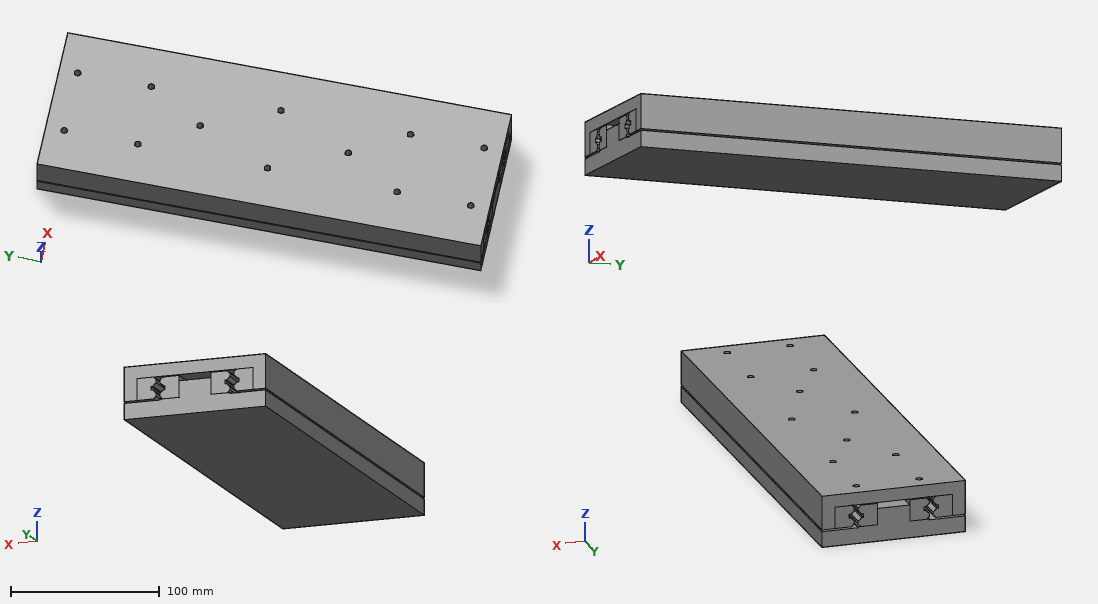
import cadquery as cq

LENGTH = 304.8
WIDTH = 101.5
HEIGHT = 36.5
TOP_Z = HEIGHT / 2
BOTTOM_Z = -HEIGHT / 2

RAIL_CLEARANCE = 0.5
SKIRT_CLEARANCE = 1.2

RAIL_HEIGHT = 15.2
RAIL_WIDTH = 13.7
RAIL_GAP = 2.7
RAIL_CHAMFER = 1.8
GROOVE_HALF_HEIGHT = 3.7
RELIEF_HALF_HEIGHT = 1.2
RELIEF_DEPTH = 3.7

CARRIAGE_ROOF = 8.8
CEILING_Z = TOP_Z - CARRIAGE_ROOF
CARRIAGE_BOTTOM_Z = CEILING_Z - RAIL_HEIGHT

RIB_WIDTH = 23.0
RIB_TOP_Z = 5.2
BASE_TOP_Z = CARRIAGE_BOTTOM_Z - SKIRT_CLEARANCE
INNER_RAIL_BOTTOM_Z = CEILING_Z - RAIL_CLEARANCE - RAIL_HEIGHT

INNER_RAIL_BACK_X = RIB_WIDTH / 2
INNER_RAIL_FACE_X = INNER_RAIL_BACK_X + RAIL_WIDTH
OUTER_RAIL_FACE_X = INNER_RAIL_FACE_X + RAIL_GAP
OUTER_RAIL_BACK_X = OUTER_RAIL_FACE_X + RAIL_WIDTH

HOLE_DIAMETER = 4.3
HOLE_ROW_X = 22.3
ROW_HOLE_Y = 139.5, 89.0
CENTRE_HOLE_Y = 51.0


def box(width, bottom_z, top_z):
    """Full-length block, centred across the slide, between two heights."""
    return (
        cq.Workplane("XY", origin=(0, 0, bottom_z))
        .rect(width, LENGTH)
        .extrude(top_z - bottom_z)
    )


def make_carriage():
    block = box(WIDTH, CARRIAGE_BOTTOM_Z, TOP_Z)
    channel = box(2 * OUTER_RAIL_BACK_X, CARRIAGE_BOTTOM_Z, CEILING_Z)

    row_y = [0.0]
    for y in ROW_HOLE_Y:
        row_y += [-y, y]
    hole_places = [(x, y) for x in (-HOLE_ROW_X, HOLE_ROW_X) for y in row_y]
    hole_places += [(0, -CENTRE_HOLE_Y), (0, CENTRE_HOLE_Y)]
    holes = (
        cq.Workplane("XY", origin=(0, 0, CEILING_Z))
        .pushPoints(hole_places)
        .circle(HOLE_DIAMETER / 2)
        .extrude(CARRIAGE_ROOF)
    )
    return block.cut(channel).cut(holes)


def make_base():
    plate = box(WIDTH, BOTTOM_Z, BASE_TOP_Z)
    seat = box(2 * INNER_RAIL_FACE_X, BASE_TOP_Z, INNER_RAIL_BOTTOM_Z)
    rib = box(RIB_WIDTH, INNER_RAIL_BOTTOM_Z, RIB_TOP_Z)
    return plate.union(seat).union(rib)


def make_rail(face_x, bottom_z, facing):
    """Rail whose grooved face lies at face_x and looks toward -X or +X (facing -1 or 1)."""
    half_height = RAIL_HEIGHT / 2
    middle_z = bottom_z + half_height
    groove_depth = GROOVE_HALF_HEIGHT - RELIEF_HALF_HEIGHT

    lower_half = [
        (RAIL_WIDTH, -half_height),
        (RAIL_CHAMFER, -half_height),
        (0, -half_height + RAIL_CHAMFER),
        (0, -GROOVE_HALF_HEIGHT),
        (groove_depth, -RELIEF_HALF_HEIGHT),
        (RELIEF_DEPTH, -RELIEF_HALF_HEIGHT),
    ]
    upper_half = [(depth, -z) for depth, z in reversed(lower_half)]
    outline = [(face_x - facing * depth, middle_z + z) for depth, z in lower_half + upper_half]
    return cq.Workplane("XZ").polyline(outline).close().extrude(LENGTH / 2, both=True)


carriage = make_carriage()
base = make_base()
inner_rails = []
outer_rails = []
for side in (-1, 1):
    inner_rails.append(make_rail(side * INNER_RAIL_FACE_X, INNER_RAIL_BOTTOM_Z, side))
    outer_rails.append(make_rail(side * OUTER_RAIL_FACE_X, CARRIAGE_BOTTOM_Z, -side))

rails = [rail.val() for rail in inner_rails + outer_rails]
result = cq.Compound.makeCompound([carriage.val(), base.val(), *rails])